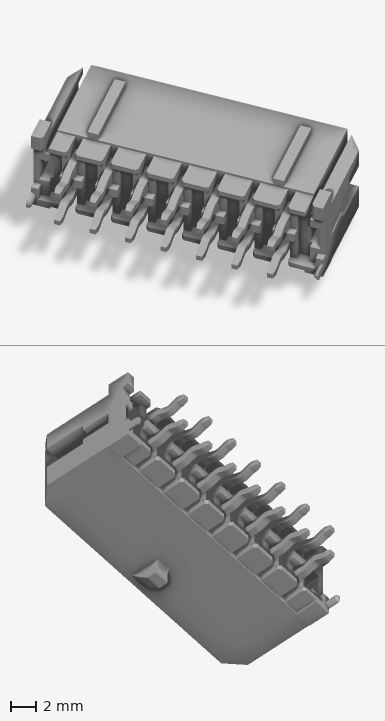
import cadquery as cq


half_length = 12.35
body_half_length = 10.85
back_y = 9.98
wall_y = 2.03
body_bottom_z = 0.07
body_top_z = 6.85
middle_z = (body_bottom_z + body_top_z) / 2

pin_count = 7
pin_pitch = 3.0
pin_size = 0.65
pin_tip_size = 0.47
pin_tip_y = -3.2
pin_taper_y = -2.7
pin_bend_y = (-0.5, -1.53, -2.5)
pin_bend_offset = 0.4
pin_inner_radius = 0.5
pin_outer_radius = 1.0
pin_x_places = [(i - (pin_count - 1) / 2) * pin_pitch for i in range(pin_count)]

slot_width = 0.67
shelf_thickness = 0.47
lower_shelf_z = 0.22
upper_shelf_z = 6.18
lower_shelf_top_z = lower_shelf_z + shelf_thickness
shelf_chamfer = 0.22
guide_width = 1.88
guide_y = 0.62
groove_y = 1.2
groove_end_x = 11.05
bar_height = 0.85

flank_back_y = back_y - (half_length - body_half_length)
flap_inner_x = 11.35
flap_edge_z = 6.32
bridge_top_z = 5.38
corner_bottom_z = 0.77
corner_top_z = 6.08
window_height = 2.22
window_outer_x = 11.88
window_step_y = 4.7
side_slot_height = 1.19

ear_top_z = 7.55
foot_inner_x = 10.77
foot_block_inner_x = 11.73
foot_block_top_z = 1.88
post_radius = 0.408
post_z = 0.95
post_tip_y = -1.19
post_chamfer = 0.2

rib_x = 7.85
rib_width = 0.91
rib_top_z = 7.45
latch_width = 1.45
latch_bottom_z = -1.33
latch_back_y = 9.44
latch_toe_y = 7.88
latch_front_y = 7.0
latch_toe_radius = 0.37
latch_root_radius = 0.35


def block(x_span, y_span, z_span):
    """Box between the given limits on each axis."""
    spans = (x_span, y_span, z_span)
    sizes = [abs(high - low) for low, high in spans]
    centre = tuple((low + high) / 2 for low, high in spans)
    return cq.Workplane("XY").box(*sizes).translate(centre)


def span(centre, width):
    return (centre - width / 2, centre + width / 2)


def make_body():
    body_x = (-body_half_length, body_half_length)
    body = block(body_x, (wall_y, back_y), (body_bottom_z, body_top_z))
    for x in (-rib_x, rib_x):
        body = body.union(block(span(x, rib_width), (wall_y, flank_back_y), (middle_z, rib_top_z)))
    return body


def make_latch():
    """Wedge under the housing with a rounded toe and a filleted root."""
    root_z = body_bottom_z
    latch = (
        cq.Workplane("YZ")
        .moveTo(latch_back_y, root_z)
        .lineTo(latch_toe_y, latch_bottom_z)
        .lineTo(latch_front_y, latch_bottom_z)
        .lineTo(latch_front_y, root_z - latch_root_radius)
        .radiusArc((latch_front_y - latch_root_radius, root_z), -latch_root_radius)
        .lineTo(latch_front_y - latch_root_radius, middle_z)
        .lineTo(latch_back_y, middle_z)
        .close()
        .extrude(latch_width / 2, both=True)
    )
    toe = cq.selectors.NearestToPointSelector((0, latch_toe_y, latch_bottom_z))
    return latch.edges("|X").edges(toe).fillet(latch_toe_radius)


def make_shelf(bottom_z):
    """Plate along the front, split by the pin slots, with chamfered tooth corners."""
    z_span = (bottom_z, bottom_z + shelf_thickness)
    shelf = block((-body_half_length, body_half_length), (0, wall_y), z_span)
    for x in pin_x_places:
        shelf = shelf.cut(block(span(x, slot_width), (0, wall_y), z_span))
    tooth_corners = shelf.edges("|Z").edges("<Y").filter(
        lambda edge: abs(edge.Center().x) < body_half_length - shelf_chamfer
    )
    return tooth_corners.chamfer(shelf_chamfer)


def make_comb():
    z_span = (lower_shelf_top_z, upper_shelf_z)
    comb = block((-groove_end_x, groove_end_x), (groove_y, wall_y), z_span)
    comb = comb.cut(make_flank_openings())
    for x in pin_x_places:
        comb = comb.union(block(span(x, guide_width), (guide_y, wall_y), z_span))
        comb = comb.cut(block(span(x, slot_width), (guide_y, wall_y), z_span))
        comb = comb.union(block(span(x, guide_width), (0, wall_y), span(middle_z, bar_height)))
    return comb.union(make_shelf(lower_shelf_z)).union(make_shelf(upper_shelf_z))


def make_left_openings():
    """Through window, side pocket, side slot and top gap of the left flank."""
    window_z = span(middle_z, window_height)
    inner = -body_half_length
    window = block((-window_outer_x, inner), (0, flank_back_y), window_z)
    pocket = block((-half_length, inner), (window_step_y, flank_back_y), window_z)
    side_slot = block(
        (-half_length, inner), (wall_y, window_step_y), span(middle_z, side_slot_height)
    )
    gap = block((-flap_inner_x, inner), (0, back_y), (bridge_top_z, ear_top_z))
    return window.union(pocket).union(side_slot).union(gap)


def make_flank_openings():
    left = make_left_openings()
    return left.union(left.mirror("YZ"))


def make_left_flank():
    """Left end wall: sloped flap, bevelled rear corner, ear, foot and locating post."""
    outer = -half_length
    inner = -body_half_length

    flap = (
        cq.Workplane("XZ", origin=(0, guide_y, 0))
        .polyline(
            [
                (outer, body_bottom_z),
                (inner, body_bottom_z),
                (inner, body_top_z),
                (-flap_inner_x, body_top_z),
                (outer, flap_edge_z),
            ]
        )
        .close()
        .extrude(guide_y - back_y)
    )
    corner_bevel = (
        cq.Workplane("XY")
        .polyline([(outer, flank_back_y), (outer, back_y), (inner, back_y)])
        .close()
        .extrude(ear_top_z)
    )
    corner_recess = block((outer, inner), (flank_back_y, back_y), (corner_bottom_z, corner_top_z))
    step = block((-groove_end_x, inner), (guide_y, groove_y), (lower_shelf_top_z, bridge_top_z))
    flank = flap.cut(corner_bevel).cut(corner_recess).cut(step)

    ear = block((outer, -flap_inner_x), (0, wall_y), (upper_shelf_z, ear_top_z))
    ear = ear.edges("|Z").edges("<Y").edges(">X").chamfer(shelf_chamfer)
    ear_root = block((outer, -flap_inner_x), (guide_y, wall_y), (bridge_top_z, upper_shelf_z))
    flank = flank.union(ear).union(ear_root).cut(make_left_openings())

    foot = block((outer, -foot_inner_x), (0, wall_y), (0, lower_shelf_top_z))
    foot_block = block((outer, -foot_block_inner_x), (0, wall_y), (0, foot_block_top_z))

    post = (
        cq.Workplane("XZ", origin=(outer, 0, post_z))
        .circle(post_radius)
        .extrude(-post_tip_y)
        .faces("<Y")
        .chamfer(post_chamfer)
    )
    beyond_end = block(
        (outer - 2 * post_radius, outer), (post_tip_y, 0), span(post_z, 2 * post_radius)
    )
    return flank.union(foot).union(foot_block).union(post.cut(beyond_end))


def make_pin(bend_direction):
    """Square pin along Y centred on X = Z = 0, kinked up (+1) or down (-1), with a tapered tip."""
    kink_start, kink_peak, kink_end = pin_bend_y
    peak_z = bend_direction * pin_bend_offset
    centreline = [(wall_y, 0), (kink_start, 0), (kink_peak, peak_z), (kink_end, 0), (pin_taper_y, 0)]
    upper = [(y, z + pin_size / 2) for y, z in centreline]
    lower = [(y, z - pin_size / 2) for y, z in reversed(centreline)]
    shank = cq.Workplane("YZ").polyline(upper + lower).close().extrude(pin_size / 2, both=True)
    outer_side = -bend_direction
    for y, z in centreline[1:-1]:
        for side in (outer_side, -outer_side):
            bend_line = cq.selectors.NearestToPointSelector((0, y, z + side * pin_size / 2))
            radius = pin_outer_radius if side == outer_side else pin_inner_radius
            shank = shank.edges("|X").edges(bend_line).fillet(radius)
        outer_side = -outer_side
    tip = (
        cq.Workplane("XZ", origin=(0, pin_taper_y, 0))
        .rect(pin_size, pin_size)
        .workplane(offset=pin_taper_y - pin_tip_y)
        .rect(pin_tip_size, pin_tip_size)
        .loft()
    )
    return shank.union(tip)


result = make_body().union(make_latch()).union(make_comb())

left_flank = make_left_flank()
result = result.union(left_flank).union(left_flank.mirror("YZ"))

for row_side in (1, -1):
    pin = make_pin(-row_side)
    row_z = middle_z + row_side * pin_pitch / 2
    for x in pin_x_places:
        result = result.union(pin.translate((x, 0, row_z)))